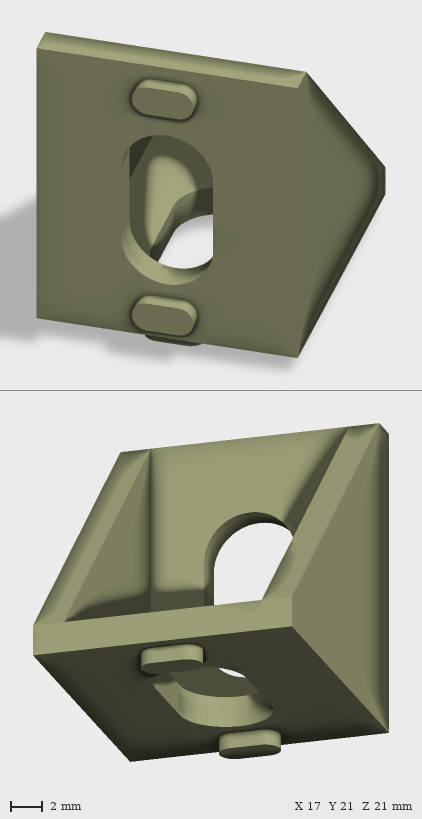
import cadquery as cq

overall = 21.0
width = 17.0
thickness = 2.0
tab_height = 1.0
tab_length = 4.0
tab_width = 2.0
tab_inset = 2.0
slot_width = 6.0
slot_length = 11.0
slot_center = 9.5

leg = overall - tab_height
inner_width = width - 2 * thickness
tab_centers = (tab_inset, leg - tab_inset)

front_face = cq.Plane(origin=(0, 0, 0), xDir=(-1, 0, 0), normal=(0, 1, 0))
bottom_face = cq.Plane(origin=(0, 0, 0), xDir=(1, 0, 0), normal=(0, 0, 1))


def make_body():
    """Gusseted angle bracket with its outer corner along the X axis."""
    profile = [(0, 0), (leg, 0), (leg, thickness), (thickness, leg), (0, leg)]
    return cq.Workplane("YZ").polyline(profile).close().extrude(width / 2, both=True)


def make_cavity():
    """Open space between the two side walls and above the flanges."""
    return cq.Workplane("XY").box(
        inner_width, leg, leg, centered=(True, False, False)
    ).translate((0, thickness, thickness))


def make_slot(face):
    """Screw slot through one flange, running along the leg."""
    return (
        cq.Workplane(face)
        .center(0, slot_center)
        .slot2D(slot_length, slot_width, 90)
        .extrude(thickness)
    )


def make_tab(face, center):
    """Rounded locating tab standing out from an outer face."""
    return (
        cq.Workplane(face)
        .center(0, center)
        .slot2D(tab_length, tab_width)
        .extrude(-tab_height)
    )


result = make_body().cut(make_cavity())
for face in (front_face, bottom_face):
    result = result.cut(make_slot(face))
    for center in tab_centers:
        result = result.union(make_tab(face, center))